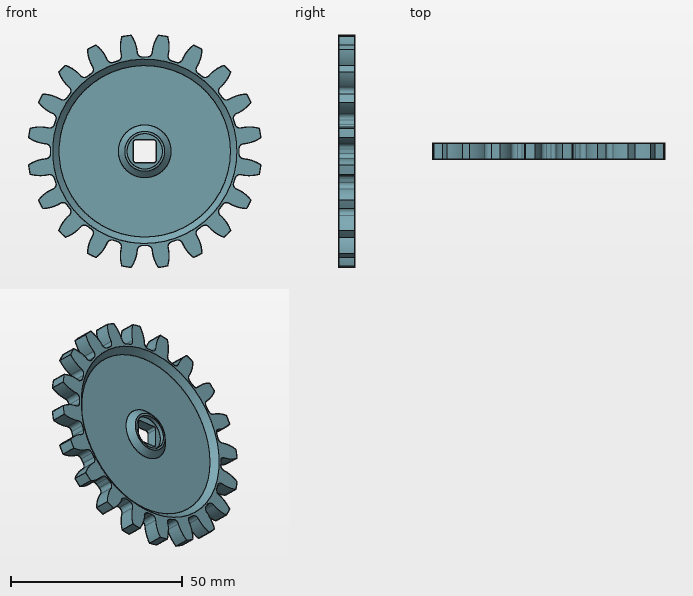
import cadquery as cq
import math

thickness = 4.76
tooth_count = 20
tip_radius = 34.02
root_radius = 27.45
root_fillet = 1.42

tooth_overlap = 1.0
tooth_base_half_width = 1.95
tooth_base_height = root_radius - tooth_overlap
tooth_belly_half_width = 2.4
tooth_belly_height = 29.8
tooth_tip_half_width = 1.39

recess_depth = 1.9
recess_outer_radius = 26.8
recess_floor_outer_radius = 24.92
boss_base_radius = 7.68
boss_top_radius = 5.8

counterbore_diameter = 10.29
counterbore_depth = 1.35
square_size = 6.6
square_corner_radius = 0.7

pitch_angle = 360 / tooth_count
front_y = -thickness / 2


def front_plane():
    """XZ workplane on the front face; material lies behind it, toward +Y."""
    return cq.Workplane(cq.Plane(origin=(0, front_y, 0), xDir=(1, 0, 0), normal=(0, -1, 0)))


def make_tooth():
    """One tooth standing along +Z, with bulging flanks and a tip on the outside circle."""
    tip_height = math.sqrt(tip_radius**2 - tooth_tip_half_width**2)
    return (
        front_plane()
        .moveTo(-tooth_base_half_width, tooth_base_height)
        .threePointArc((-tooth_belly_half_width, tooth_belly_height), (-tooth_tip_half_width, tip_height))
        .threePointArc((0, tip_radius), (tooth_tip_half_width, tip_height))
        .threePointArc((tooth_belly_half_width, tooth_belly_height), (tooth_base_half_width, tooth_base_height))
        .close()
        .extrude(-thickness)
    )


def is_at_root(edge):
    """True for an edge lying on the root circle rather than out at a tooth tip."""
    center = edge.Center()
    return math.hypot(center.x, center.z) < (root_radius + tip_radius) / 2


def make_gear_blank():
    """Root disc with all teeth, rounded where the flanks meet the root circle."""
    disc = front_plane().circle(root_radius).extrude(-thickness)
    tooth = make_tooth()
    teeth = []
    for index in range(tooth_count):
        angle = (index + 0.5) * pitch_angle
        teeth.append(tooth.rotate((0, 0, 0), (0, 1, 0), angle).val())
    blank = cq.Workplane(disc.val().fuse(*teeth).clean())
    return blank.edges("|Y").filter(is_at_root).fillet(root_fillet)


def make_recess():
    """Ring-shaped cutter with conical walls, narrowing toward the recess floor."""
    floor_y = front_y + recess_depth
    return (
        cq.Workplane("XY")
        .moveTo(boss_top_radius, front_y)
        .lineTo(recess_outer_radius, front_y)
        .lineTo(recess_floor_outer_radius, floor_y)
        .lineTo(boss_base_radius, floor_y)
        .close()
        .revolve(360, (0, 0, 0), (0, 1, 0))
    )


def make_bore():
    """Round counterbore in the boss followed by the square through hole."""
    counterbore = front_plane().circle(counterbore_diameter / 2).extrude(-counterbore_depth)
    square = (
        front_plane()
        .rect(square_size, square_size)
        .extrude(-thickness)
        .edges("|Y")
        .fillet(square_corner_radius)
    )
    return counterbore.union(square)


result = make_gear_blank().cut(make_recess()).cut(make_bore())